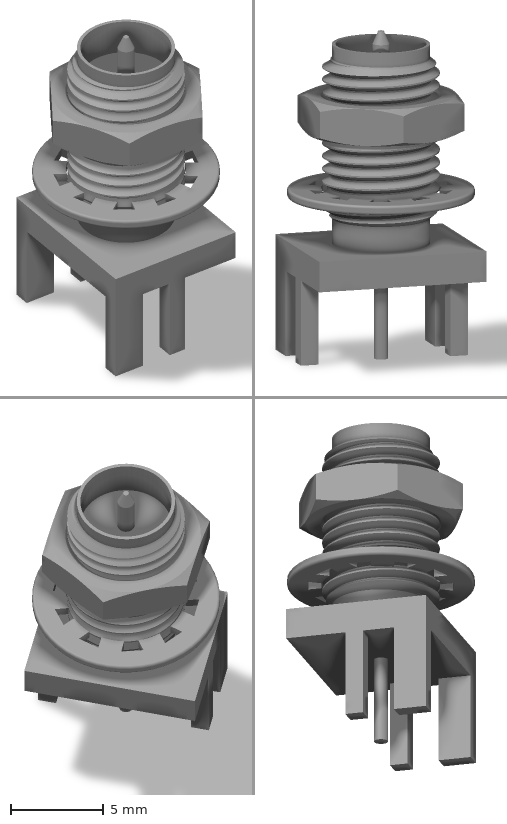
import cadquery as cq
import math

BASE_X = 9.51
BASE_Y = 7.91
LEG_LENGTH = 4.72
BASE_TOP = 6.4
LEG_X = 1.0
CORNER_LEG_Y = 1.82
SIDE_LEG_Y = 1.0
SIDE_LEG_CENTER_Y = 0.1

NECK_D = 5.34
BORE_D = 4.95
BARREL_TOP = 17.45
BORE_DEPTH = 2.01

THREAD_D = 6.39
THREAD_ROOT_D = 5.48
THREAD_BOTTOM = 7.82
THREAD_TOP = 16.66
THREAD_CHAMFER_ANGLE = 40.0
PITCH = 0.7
ROOT_FLAT = 0.09
CREST_FLAT = 0.09
CREST_HEIGHT = 11.97
GROOVE_OVERCUT = 0.04

CONTACT_D = 0.93
CONTACT_TIP_D = 0.3
TAIL_D = 0.76
OVERALL_HEIGHT = 18.15

NUT_BOTTOM = 12.58
NUT_TOP = 14.63
NUT_ACROSS_CORNERS = 9.4
NUT_FACE_D = 8.13
NUT_CHAMFER_DROP = 0.29
NUT_COUNTERSINK_D = 6.59
NUT_TURN = -2.3

WASHER_D = 10.2
WASHER_HOLE_D = 6.5
WASHER_BOTTOM = 8.97
WASHER_TOP = 9.47
WASHER_EDGE_FILLET = 0.15
SLOT_COUNT = 10
SLOT_OUTER_R = 3.94
SLOT_OUTER_WIDTH = 1.22
SLOT_INNER_R = 2.9
SLOT_INNER_WIDTH = 0.58


def cylinder(diameter, bottom, top):
    return cq.Workplane("XY").workplane(offset=bottom).circle(diameter / 2).extrude(top - bottom)


def turned(points):
    """Solid turned about Z from (radius, height) points."""
    return cq.Workplane("XZ").polyline(points).close().revolve(360, (0, 0, 0), (0, 1, 0))


def box(size_x, size_y, center_x, center_y, bottom, top):
    return (
        cq.Workplane("XY")
        .workplane(offset=bottom)
        .center(center_x, center_y)
        .rect(size_x, size_y)
        .extrude(top - bottom)
    )


def base_with_legs():
    base = box(BASE_X, BASE_Y, 0, 0, LEG_LENGTH, BASE_TOP)
    corner_leg_y = -(BASE_Y - CORNER_LEG_Y) / 2
    for side in (-1, 1):
        leg_x = side * (BASE_X - LEG_X) / 2
        base = base.union(box(LEG_X, CORNER_LEG_Y, leg_x, corner_leg_y, 0, LEG_LENGTH))
        base = base.union(box(LEG_X, SIDE_LEG_Y, leg_x, SIDE_LEG_CENTER_Y, 0, LEG_LENGTH))
    return base


def thread_groove():
    """Helical V groove of whole turns, running past both ends of the thread."""
    root_r = THREAD_ROOT_D / 2
    mouth_r = THREAD_D / 2 + GROOVE_OVERCUT
    flank_slope = (PITCH - ROOT_FLAT - CREST_FLAT) / (THREAD_D - THREAD_ROOT_D)
    root_half = ROOT_FLAT / 2
    mouth_half = root_half + flank_slope * (mouth_r - root_r)

    groove_height = CREST_HEIGHT - PITCH / 2
    start = groove_height - PITCH * (math.ceil((groove_height - THREAD_BOTTOM) / PITCH) + 1)
    turns = math.ceil((THREAD_TOP - start) / PITCH) + 1
    corners = [
        (root_r, start - root_half),
        (mouth_r, start - mouth_half),
        (mouth_r, start + mouth_half),
        (root_r, start + root_half),
    ]

    helices = [
        cq.Wire.makeHelix(PITCH, PITCH, radius).translate(cq.Vector(0, 0, height)).Edges()[0]
        for radius, height in corners
    ]
    faces = []
    for side in range(len(helices)):
        one_turn = cq.Face.makeRuledSurface(helices[side - 1], helices[side])
        for turn in range(turns):
            faces.append(one_turn.translate(cq.Vector(0, 0, turn * PITCH)))

    profile = cq.Wire.makePolygon([cq.Vector(radius, 0, height) for radius, height in corners], close=True)
    end_face = cq.Face.makeFromWires(profile)
    faces.append(end_face)
    faces.append(end_face.translate(cq.Vector(0, 0, turns * PITCH)))
    return cq.Workplane(obj=cq.Solid.makeSolid(cq.Shell.makeShell(faces)))


def threaded_barrel():
    """Hollow barrel with plain necks and a thread chamfered at both ends."""
    neck_r = NECK_D / 2
    bore_r = BORE_D / 2
    thread_r = THREAD_D / 2
    chamfer = (thread_r - neck_r) * math.tan(math.radians(THREAD_CHAMFER_ANGLE))
    bore_floor = BARREL_TOP - BORE_DEPTH
    blank = turned(
        [
            (0, BASE_TOP),
            (neck_r, BASE_TOP),
            (neck_r, THREAD_BOTTOM),
            (thread_r, THREAD_BOTTOM + chamfer),
            (thread_r, THREAD_TOP - chamfer),
            (neck_r, THREAD_TOP),
            (neck_r, BARREL_TOP),
            (bore_r, BARREL_TOP),
            (bore_r, bore_floor),
            (0, bore_floor),
        ]
    )
    return blank.cut(thread_groove())


def contact():
    tip = turned(
        [
            (0, BARREL_TOP - BORE_DEPTH),
            (CONTACT_D / 2, BARREL_TOP - BORE_DEPTH),
            (CONTACT_D / 2, BARREL_TOP),
            (CONTACT_TIP_D / 2, OVERALL_HEIGHT),
            (0, OVERALL_HEIGHT),
        ]
    )
    return tip.union(cylinder(TAIL_D, 0, LEG_LENGTH))


def hex_nut():
    nut = (
        cq.Workplane("XY")
        .workplane(offset=NUT_BOTTOM)
        .polygon(6, NUT_ACROSS_CORNERS)
        .extrude(NUT_TOP - NUT_BOTTOM)
        .rotate((0, 0, 0), (0, 0, 1), 30 + NUT_TURN)
    )
    corner_r = NUT_ACROSS_CORNERS / 2
    face_r = NUT_FACE_D / 2
    chamfered_blank = turned(
        [
            (0, NUT_BOTTOM),
            (face_r, NUT_BOTTOM),
            (corner_r, NUT_BOTTOM + NUT_CHAMFER_DROP),
            (corner_r, NUT_TOP - NUT_CHAMFER_DROP),
            (face_r, NUT_TOP),
            (0, NUT_TOP),
        ]
    )
    nut = nut.intersect(chamfered_blank)

    root_r = THREAD_ROOT_D / 2
    sink_r = NUT_COUNTERSINK_D / 2
    sink_depth = sink_r - root_r
    for face, floor in ((NUT_BOTTOM, NUT_BOTTOM + sink_depth), (NUT_TOP, NUT_TOP - sink_depth)):
        nut = nut.cut(turned([(0, face), (sink_r, face), (root_r, floor), (0, floor)]))
    return nut


def washer_slot(index):
    slot = (
        cq.Workplane("XY")
        .workplane(offset=WASHER_BOTTOM)
        .polyline(
            [
                (SLOT_INNER_R, -SLOT_INNER_WIDTH / 2),
                (SLOT_OUTER_R, -SLOT_OUTER_WIDTH / 2),
                (SLOT_OUTER_R, SLOT_OUTER_WIDTH / 2),
                (SLOT_INNER_R, SLOT_INNER_WIDTH / 2),
            ]
        )
        .close()
        .extrude(WASHER_TOP - WASHER_BOTTOM)
    )
    return slot.rotate((0, 0, 0), (0, 0, 1), index * 360 / SLOT_COUNT)


def lock_washer():
    washer = cylinder(WASHER_D, WASHER_BOTTOM, WASHER_TOP).edges().fillet(WASHER_EDGE_FILLET)
    washer = washer.cut(cylinder(WASHER_HOLE_D, WASHER_BOTTOM, WASHER_TOP))
    for index in range(SLOT_COUNT):
        washer = washer.cut(washer_slot(index))
    return washer


housing = threaded_barrel().union(hex_nut()).union(contact()).union(base_with_legs())
washer = lock_washer()
result = cq.Compound.makeCompound([housing.val(), washer.val()])